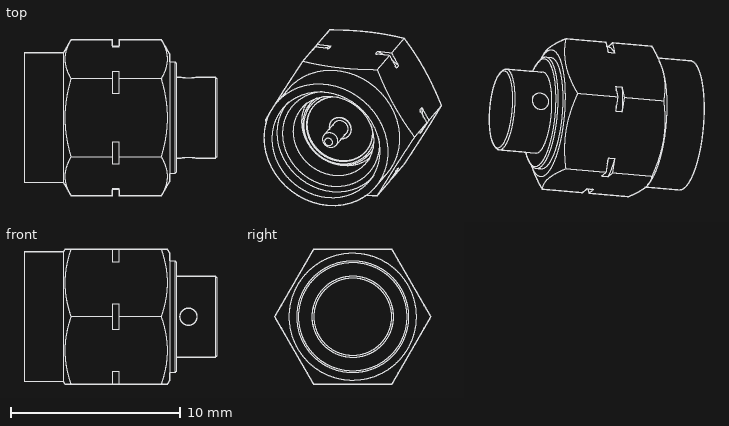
import cadquery as cq
import math

LENGTH = 11.4

SLEEVE_RADIUS = 3.84
NUT_START = 2.31

NUT_END = 8.6
NUT_ACROSS_FLATS = 8.0
NUT_CORNER_RADIUS = NUT_ACROSS_FLATS / math.sqrt(3)
NUT_CHAMFER_ANGLE = 30.0
NUT_BACK_FACE_RADIUS = 3.76

JOIN_X = (NUT_START + NUT_END) / 2

GROOVE_CENTER = 5.4
GROOVE_WIDTH = 0.4
GROOVE_RADIUS = 4.25

COLLAR_RADIUS = 3.31
COLLAR_END = 9.01
COLLAR_CHAMFER = 0.1
TAIL_RADIUS = 2.4
TAIL_CHAMFER = 0.11
CROSS_HOLE_DIAMETER = 1.0
CROSS_HOLE_X = 9.7

MOUTH_RADIUS = 3.34
MOUTH_DEPTH = 0.99
LEAD_IN_RADIUS = 3.0
SOCKET_RADIUS = 2.5
LEAD_IN_END = MOUTH_DEPTH + LEAD_IN_RADIUS - SOCKET_RADIUS

TUBE_RADIUS = 2.3
TUBE_CHAMFER = 0.1
TUBE_BORE_RADIUS = 2.04
TUBE_FACE_X = 2.66
INSULATOR_FACE_X = 2.79
TUBE_GAP_DEPTH = 0.5
TUBE_GAP_END = TUBE_FACE_X + TUBE_GAP_DEPTH

PIN_RADIUS = 0.47
PIN_TIP_RADIUS = 0.24
PIN_TIP_X = 0.5
PIN_TAPER_LENGTH = 0.32
PIN_CLEARANCE_RADIUS = 0.67
PIN_CLEARANCE_DEPTH = 0.07


def revolve_profile(points):
    """Turn (x, radius) points into a solid of revolution about X."""
    return cq.Workplane("XY").polyline(points).close().revolve(360, (0, 0, 0), (1, 0, 0))


def cylinder(start, end, radius):
    """Cylinder about X between two axial positions."""
    return cq.Workplane("YZ").workplane(offset=start).circle(radius).extrude(end - start)


def hex_nut():
    """Hexagon with conical ends and a ring groove across its corners."""
    slope = math.tan(math.radians(NUT_CHAMFER_ANGLE))
    front_cone = (NUT_CORNER_RADIUS - SLEEVE_RADIUS) * slope
    back_cone = (NUT_CORNER_RADIUS - NUT_BACK_FACE_RADIUS) * slope
    hexagon = (
        cq.Workplane("YZ")
        .workplane(offset=NUT_START)
        .polygon(6, 2 * NUT_CORNER_RADIUS)
        .extrude(NUT_END - NUT_START)
    )
    envelope = revolve_profile([
        (NUT_START, 0),
        (NUT_START, SLEEVE_RADIUS),
        (NUT_START + front_cone, NUT_CORNER_RADIUS),
        (NUT_END - back_cone, NUT_CORNER_RADIUS),
        (NUT_END, NUT_BACK_FACE_RADIUS),
        (NUT_END, 0),
    ])
    groove_start = GROOVE_CENTER - GROOVE_WIDTH / 2
    groove_end = GROOVE_CENTER + GROOVE_WIDTH / 2
    groove = cylinder(groove_start, groove_end, 2 * NUT_CORNER_RADIUS).cut(
        cylinder(groove_start, groove_end, GROOVE_RADIUS)
    )
    return hexagon.intersect(envelope).cut(groove)


def collar_and_tail():
    """Chamfered collar and tail, starting inside the nut."""
    return revolve_profile([
        (JOIN_X, 0),
        (JOIN_X, COLLAR_RADIUS),
        (COLLAR_END - COLLAR_CHAMFER, COLLAR_RADIUS),
        (COLLAR_END, COLLAR_RADIUS - COLLAR_CHAMFER),
        (COLLAR_END, TAIL_RADIUS),
        (LENGTH - TAIL_CHAMFER, TAIL_RADIUS),
        (LENGTH, TAIL_RADIUS - TAIL_CHAMFER),
        (LENGTH, 0),
    ])


def cross_hole():
    """Hole through the tail along Y."""
    return (
        cq.Workplane("XZ")
        .center(CROSS_HOLE_X, 0)
        .circle(CROSS_HOLE_DIAMETER / 2)
        .extrude(2 * TAIL_RADIUS, both=True)
    )


def socket():
    """Stepped cavity around the body tube, with a pin clearance in the insulator."""
    return revolve_profile([
        (0, 0),
        (0, MOUTH_RADIUS),
        (MOUTH_DEPTH, MOUTH_RADIUS),
        (MOUTH_DEPTH, LEAD_IN_RADIUS),
        (LEAD_IN_END, SOCKET_RADIUS),
        (TUBE_GAP_END, SOCKET_RADIUS),
        (TUBE_GAP_END, TUBE_RADIUS),
        (TUBE_FACE_X + TUBE_CHAMFER, TUBE_RADIUS),
        (TUBE_FACE_X, TUBE_RADIUS - TUBE_CHAMFER),
        (TUBE_FACE_X, TUBE_BORE_RADIUS),
        (INSULATOR_FACE_X, TUBE_BORE_RADIUS),
        (INSULATOR_FACE_X, PIN_CLEARANCE_RADIUS),
        (INSULATOR_FACE_X + PIN_CLEARANCE_DEPTH, PIN_CLEARANCE_RADIUS),
        (INSULATOR_FACE_X + PIN_CLEARANCE_DEPTH, 0),
    ])


def center_pin():
    """Tapered contact, rooted in the solid behind the socket."""
    return revolve_profile([
        (PIN_TIP_X, 0),
        (PIN_TIP_X, PIN_TIP_RADIUS),
        (PIN_TIP_X + PIN_TAPER_LENGTH, PIN_RADIUS),
        (JOIN_X, PIN_RADIUS),
        (JOIN_X, 0),
    ])


sleeve = cylinder(0, JOIN_X, SLEEVE_RADIUS)
body = sleeve.union(hex_nut()).union(collar_and_tail())
result = body.cut(cross_hole()).cut(socket()).union(center_pin())